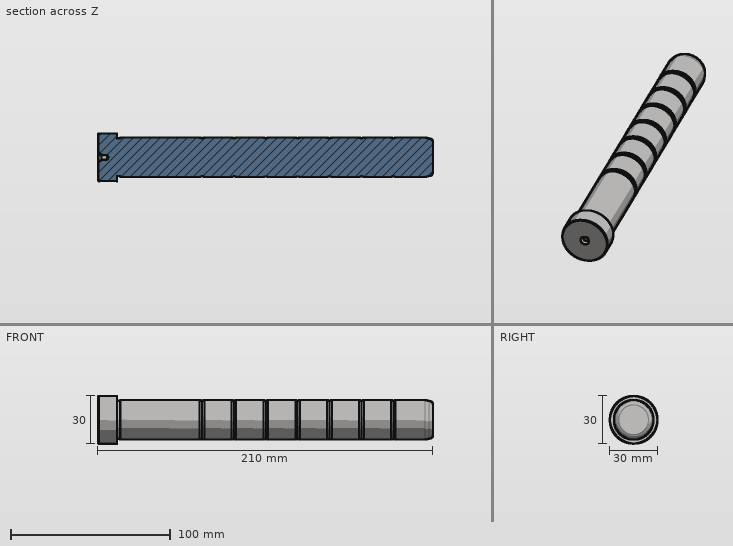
import cadquery as cq
import math

overall_length = 210.0
head_diameter = 30.0
head_length = 12.0
head_chamfer = 0.5
shaft_diameter = 25.0

relief_length = 2.0
relief_depth = 0.5
relief_ramp = 0.5

groove_count = 7
first_groove_x = 65.0
last_groove_x = 185.0
groove_width = 3.0
groove_depth = 0.5

lead_length = 5.0
lead_drop = 0.6
tip_radius = 2.5

center_mouth_diameter = 5.5
center_bore_diameter = 3.0
center_cone_angle = 60.0
center_depth = 5.5
drill_point_angle = 120.0

groove_pitch = (last_groove_x - first_groove_x) / (groove_count - 1)
head_radius = head_diameter / 2
shaft_radius = shaft_diameter / 2


def turned_blank():
    """Head, relief groove, shaft and rounded lead-in as one revolved profile."""
    relief_radius = shaft_radius - relief_depth
    relief_end = head_length + relief_length
    lead_radius = shaft_radius - lead_drop
    tip_arc_start = overall_length - tip_radius
    arc_middle = tip_radius * math.sqrt(0.5)
    profile = (
        cq.Workplane("XY")
        .moveTo(0, 0)
        .lineTo(0, head_radius - head_chamfer)
        .lineTo(head_chamfer, head_radius)
        .lineTo(head_length, head_radius)
        .lineTo(head_length, relief_radius)
        .lineTo(relief_end - relief_ramp, relief_radius)
        .lineTo(relief_end, shaft_radius)
        .lineTo(overall_length - lead_length, shaft_radius)
        .lineTo(tip_arc_start, lead_radius)
        .threePointArc(
            (tip_arc_start + arc_middle, lead_radius - tip_radius + arc_middle),
            (overall_length, lead_radius - tip_radius),
        )
        .lineTo(overall_length, 0)
        .close()
    )
    return profile.revolve(360, (0, 0, 0), (1, 0, 0))


def oil_groove(center_x):
    """Ring of V-shaped section that cuts one shallow groove."""
    half_width = groove_width / 2
    section = (
        cq.Workplane("XY")
        .moveTo(center_x - half_width, shaft_radius)
        .lineTo(center_x, shaft_radius - groove_depth)
        .lineTo(center_x + half_width, shaft_radius)
        .close()
    )
    return section.revolve(360, (0, 0, 0), (1, 0, 0))


def center_hole():
    """Center-drilled hole on the axis: conical mouth, straight bore, drill point."""
    mouth_radius = center_mouth_diameter / 2
    bore_radius = center_bore_diameter / 2
    cone_length = (mouth_radius - bore_radius) / math.tan(math.radians(center_cone_angle / 2))
    point_length = bore_radius / math.tan(math.radians(drill_point_angle / 2))
    section = cq.Workplane("XY").polyline(
        [
            (0, 0),
            (0, mouth_radius),
            (cone_length, bore_radius),
            (center_depth, bore_radius),
            (center_depth + point_length, 0),
        ]
    )
    return section.close().revolve(360, (0, 0, 0), (1, 0, 0))


result = turned_blank()
for index in range(groove_count):
    result = result.cut(oil_groove(first_groove_x + index * groove_pitch))
result = result.cut(center_hole())